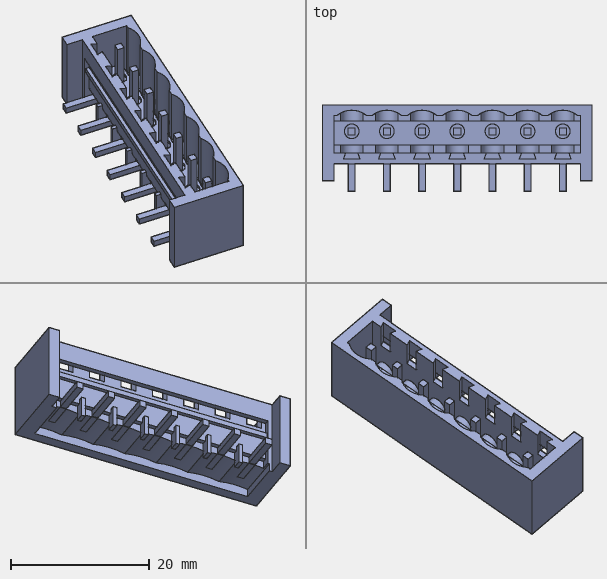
import cadquery as cq
import math


pin_count = 7
row_length = 30.45
pitch = row_length / (pin_count - 1)
pin_places = [(i - (pin_count - 1) / 2) * pitch for i in range(pin_count)]
rib_places = [(a + b) / 2 for a, b in zip(pin_places, pin_places[1:])]

length = 38.95
height = 12.0
body_depth = 8.55
wing_depth = 11.0
wing_thickness = 1.7

cavity_length = length - 2 * wing_thickness
rear_wall = 1.5
front_wall = 1.6
cavity_floor = 3.0
scallop_depth = 0.75
scallop_half_width = 2.1

bar_rear = 2.35
bar_front = 5.75
bar_top = 4.68
hump_half_width = 1.65
hump_arc_half_width = 1.25
hump_side_angle = 62.0

groove_floor = 7.85
groove_narrow = 1.75
groove_wide = 2.38

recess_length = 34.1
recess_depth = 0.75
recess_top = 8.9
rail_bottom = 5.95
rail_top = 6.78
rail_projection = 0.55
rib_width = 0.6
rib_height = 3.25

step_depth = 1.4
pocket_right_end = 17.3
underside_edge = 1.15
underside_rise = 0.27

pin_width = 1.0
pin_y = -3.8
pin_tip = 11.0
leg_bottom = 1.5
leg_top = leg_bottom + pin_width
leg_reach = 12.5
counterbore_diameter = 2.1
counterbore_depth = 0.4

OVERSHOOT = 0.4


def block(x_size, y_front, y_rear, z_bottom, z_top, x_centre=0.0):
    """Box centred on x_centre; y_front and y_rear are depths measured from the rear face."""
    return (
        cq.Workplane("XY")
        .box(x_size, y_front - y_rear, z_top - z_bottom, centered=(True, False, False))
        .translate((x_centre, -y_front, z_bottom))
    )


def envelope():
    """Body with a wing reaching forward at each end."""
    wing_x = (length - wing_thickness) / 2
    shape = block(length, body_depth, 0, 0, height)
    for x in (-wing_x, wing_x):
        shape = shape.union(block(wing_thickness, wing_depth, 0, 0, height, x))
    return shape


def cavity():
    """Space above the cavity floor, with a scallop in the rear wall behind each pin."""
    rear = -rear_wall
    front = front_wall - body_depth
    half = cavity_length / 2
    outline = cq.Workplane("XY").workplane(offset=cavity_floor).moveTo(-half, front).lineTo(-half, rear)
    for x in pin_places:
        outline = (
            outline.lineTo(x - scallop_half_width, rear)
            .threePointArc((x, rear + scallop_depth), (x + scallop_half_width, rear))
        )
    return outline.lineTo(half, rear).lineTo(half, front).close().extrude(height)


def bar():
    """Raised bar that holds the pins."""
    return block(cavity_length, bar_front, bar_rear, cavity_floor, bar_top)


def hump(x):
    """Rounded hump across the cavity floor into the scallop, with flanks tangent to its arc."""
    rear = rear_wall - scallop_depth
    slope = math.radians(hump_side_angle)
    flank_height = (hump_half_width - hump_arc_half_width) * math.tan(slope)
    arc_height = hump_arc_half_width * math.tan(slope / 2)
    shoulder = cavity_floor + flank_height
    return (
        cq.Workplane("XZ", origin=(x, -rear, 0))
        .moveTo(-hump_half_width, cavity_floor)
        .lineTo(-hump_arc_half_width, shoulder)
        .threePointArc((0, shoulder + arc_height), (hump_arc_half_width, shoulder))
        .lineTo(hump_half_width, cavity_floor)
        .close()
        .extrude(body_depth - front_wall - rear)
    )


def dovetail_groove(x):
    """Groove from the cavity to the rear of the recess, wider towards the front."""
    cavity_side = front_wall - body_depth
    recess_side = recess_depth - body_depth
    return (
        cq.Workplane("XY", origin=(x, 0, groove_floor))
        .polyline([
            (-groove_narrow / 2, cavity_side),
            (groove_narrow / 2, cavity_side),
            (groove_wide / 2, recess_side),
            (-groove_wide / 2, recess_side),
        ])
        .close()
        .extrude(height)
    )


def front_recess():
    """Recess in the front face, deeper below the tops of the legs, with the rail left standing."""
    front = body_depth + OVERSHOOT
    recess_rear = body_depth - recess_depth
    recess = block(recess_length, front, recess_rear, -OVERSHOOT, recess_top)
    step = block(recess_length, front, body_depth - step_depth, -OVERSHOOT, leg_top)
    rail = block(recess_length, recess_rear + rail_projection, recess_rear, rail_bottom, rail_top)
    return recess.union(step).cut(rail)


def underside_pocket():
    """Pocket open below and in front; its roof arches over each pitch."""
    outline = (
        cq.Workplane("XZ", origin=(0, -rear_wall, 0))
        .moveTo(pin_places[0] - pitch / 2, -OVERSHOOT)
        .lineTo(pin_places[0] - pitch / 2, underside_edge)
    )
    for x in pin_places:
        outline = outline.threePointArc(
            (x, underside_edge + underside_rise), (x + pitch / 2, underside_edge)
        )
    arches = (
        outline.lineTo(pin_places[-1] + pitch / 2, -OVERSHOOT)
        .close()
        .extrude(body_depth + OVERSHOOT - rear_wall)
    )
    limits = (
        cq.Workplane("XY")
        .moveTo(-recess_length / 2, -rear_wall)
        .lineTo(pocket_right_end, -rear_wall)
        .lineTo(pocket_right_end, -body_depth - OVERSHOOT)
        .lineTo(-recess_length / 2, -body_depth - OVERSHOOT)
        .close()
        .extrude(2 * height, both=True)
    )
    return arches.intersect(limits)


def rib(x):
    """Upright rib between two legs, flush with the front face."""
    return block(rib_width, body_depth, body_depth - step_depth, 0, rib_height, x)


def pin(x):
    """Square contact: an upright post that turns forward into a solder leg."""
    post = block(pin_width, pin_width / 2 - pin_y, -pin_width / 2 - pin_y, leg_bottom, pin_tip, x)
    leg = block(pin_width, leg_reach, -pin_y, leg_bottom, leg_top, x)
    return post.union(leg)


def counterbore(x):
    """Round counterbore in the bar around a pin."""
    return (
        cq.Workplane("XY", origin=(x, pin_y, bar_top - counterbore_depth))
        .circle(counterbore_diameter / 2)
        .extrude(counterbore_depth + OVERSHOOT)
    )


pins = [pin(x) for x in pin_places]

housing = envelope().cut(cavity()).union(bar())
for x in pin_places:
    housing = housing.union(hump(x))
for x in pin_places:
    housing = housing.cut(dovetail_groove(x)).cut(counterbore(x))
housing = housing.cut(front_recess()).cut(underside_pocket())
for x in rib_places:
    housing = housing.union(rib(x))
for contact in pins:
    housing = housing.cut(contact)

result = cq.Compound.makeCompound([housing.solids().val(), *[contact.val() for contact in pins]])